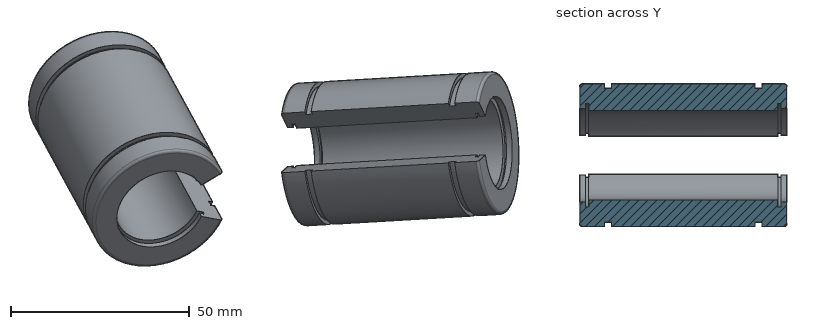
import cadquery as cq
import math

length = 58.0
outer_radius = 20.0
bore_radius = 12.5
edge_radius = 0.8

groove_offset = 7.0
groove_width = 1.85
groove_depth = 1.2

recess_radius = 13.05
recess_depth = 2.55

undercut_radius = 14.5
undercut_width = 0.85

opening_angle = 50.0


def cylinder(radius, start, width):
    """Solid cylinder on the X axis, beginning at x = start."""
    return cq.Workplane("YZ", origin=(start, 0, 0)).circle(radius).extrude(width)


def ring(outer, inner, start, width):
    """Concentric ring on the X axis."""
    return cylinder(outer, start, width).cut(cylinder(inner, start, width))


def opening_wedge():
    """Full-length wedge with its point on the sleeve axis."""
    reach = 2 * outer_radius
    half_height = reach * math.tan(math.radians(opening_angle / 2))
    return (
        cq.Workplane("YZ")
        .polyline([(0, 0), (reach, -half_height), (reach, half_height)])
        .close()
        .extrude(length)
    )


sleeve = cylinder(outer_radius, 0, length).edges("%CIRCLE").fillet(edge_radius)
sleeve = sleeve.cut(cylinder(bore_radius, 0, length))

for groove_start in (groove_offset, length - groove_offset - groove_width):
    groove = ring(outer_radius, outer_radius - groove_depth, groove_start, groove_width)
    sleeve = sleeve.cut(groove)

for recess_start in (0, length - recess_depth):
    sleeve = sleeve.cut(cylinder(recess_radius, recess_start, recess_depth))

for undercut_start in (recess_depth - undercut_width, length - recess_depth):
    sleeve = sleeve.cut(cylinder(undercut_radius, undercut_start, undercut_width))

result = sleeve.cut(opening_wedge())